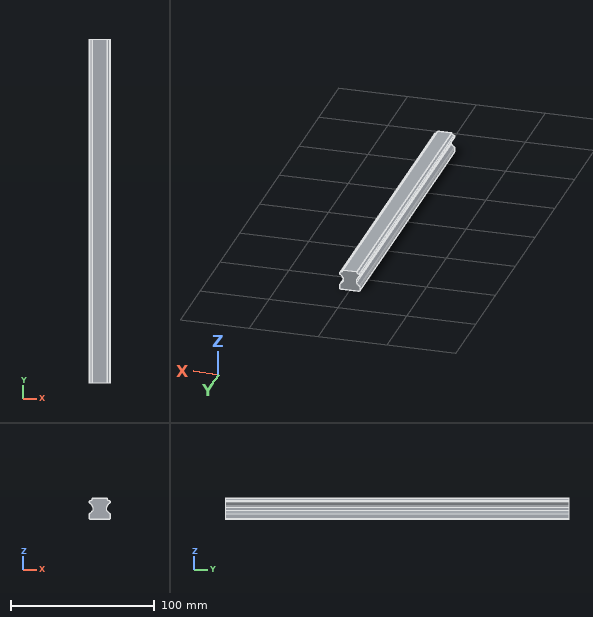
import cadquery as cq
import math


LENGTH = 240.0
WIDTH = 15.0
HEIGHT = 15.0
NECK_WIDTH = 9.5

BASE_CHAMFER = 0.6
FOOT_SIDE_TOP = 3.4
FOOT_EDGE_INSET = 0.5
FOOT_EDGE_RISE = 0.7
NECK_BOTTOM = 6.2
NECK_TOP = 8.2

CROWN_WIDTH = 10.0
CROWN_CHAMFER = 0.2
LAND_BOTTOM = 12.0
LAND_TOP = 12.5
LAND_EDGE_INSET = 0.7
UPPER_GROOVE_DEPTH = 0.5
LOWER_GROOVE_DEPTH = 0.2
LOWER_GROOVE_START = (7.0, 11.3)
LOWER_GROOVE_END = (5.5, 9.5)
LIP_BOTTOM = (5.0, 9.0)
EDGE_BULGE = 0.07


def arc_middle(start, end, bulge):
    """Middle of an arc; a positive bulge hollows a section traced counter-clockwise."""
    run_x = end[0] - start[0]
    run_z = end[1] - start[1]
    chord = math.hypot(run_x, run_z)
    middle_x = (start[0] + end[0]) / 2 - bulge * run_z / chord
    middle_z = (start[1] + end[1]) / 2 + bulge * run_x / chord
    return (middle_x, middle_z)


half_width = WIDTH / 2
half_neck = NECK_WIDTH / 2
half_crown = CROWN_WIDTH / 2
foot_side_top = (half_width, FOOT_SIDE_TOP)
foot_slope_start = (half_width - FOOT_EDGE_INSET, FOOT_SIDE_TOP + FOOT_EDGE_RISE)
neck_top = (half_neck, NECK_TOP)
land_bottom = (half_width, LAND_BOTTOM)
land_top = (half_width, LAND_TOP)
upper_groove_start = (half_width - LAND_EDGE_INSET, LAND_TOP + LAND_EDGE_INSET)
upper_groove_end = (half_crown + CROWN_CHAMFER, HEIGHT - CROWN_CHAMFER)

half_section = (
    cq.Workplane("XZ", origin=(0, LENGTH / 2, 0))
    .lineTo(half_width - BASE_CHAMFER, 0)
    .lineTo(half_width, BASE_CHAMFER)
    .lineTo(*foot_side_top)
    .threePointArc(arc_middle(foot_side_top, foot_slope_start, -EDGE_BULGE), foot_slope_start)
    .lineTo(half_neck, NECK_BOTTOM)
    .lineTo(*neck_top)
    .lineTo(*LIP_BOTTOM)
    .lineTo(*LOWER_GROOVE_END)
    .threePointArc(
        arc_middle(LOWER_GROOVE_END, LOWER_GROOVE_START, LOWER_GROOVE_DEPTH), LOWER_GROOVE_START
    )
    .threePointArc(arc_middle(LOWER_GROOVE_START, land_bottom, -EDGE_BULGE), land_bottom)
    .lineTo(*land_top)
    .threePointArc(arc_middle(land_top, upper_groove_start, -EDGE_BULGE), upper_groove_start)
    .threePointArc(
        arc_middle(upper_groove_start, upper_groove_end, UPPER_GROOVE_DEPTH), upper_groove_end
    )
    .lineTo(half_crown, HEIGHT)
    .lineTo(0, HEIGHT)
    .close()
)

half_rail = half_section.extrude(LENGTH)
result = half_rail.union(half_rail.mirror("YZ")).clean()